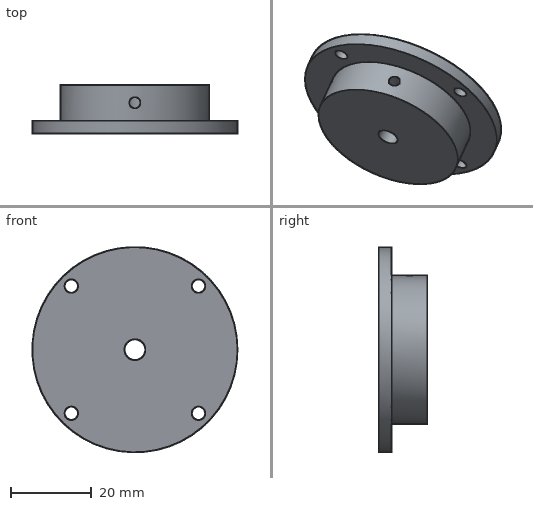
import cadquery as cq

flange_diameter = 50.8
flange_thickness = 3.2
hub_diameter = 36.9
total_depth = 12.05
hub_length = total_depth - flange_thickness

bore_diameter = 5.1
bolt_hole_diameter = 3.25
bolt_spacing = 31.45
set_screw_diameter = 2.75
set_screw_y = flange_thickness + hub_length / 2


def cylinder_along_y(diameter, start_y, length):
    """Solid cylinder on the Y axis, growing toward +Y."""
    plane = cq.Workplane("XZ", origin=(0, start_y, 0))
    return plane.circle(diameter / 2).extrude(-length)


def bolt_holes():
    """Four through holes at the corners of a square on the flange."""
    corners = cq.Workplane("XZ").rect(bolt_spacing, bolt_spacing, forConstruction=True).vertices()
    return corners.circle(bolt_hole_diameter / 2).extrude(-flange_thickness)


def set_screw_hole():
    """Radial hole from the bore axis out through the +Z side of the hub."""
    plane = cq.Workplane("XY", origin=(0, set_screw_y, 0))
    return plane.circle(set_screw_diameter / 2).extrude(hub_diameter / 2)


flange = cylinder_along_y(flange_diameter, 0, flange_thickness)
hub = cylinder_along_y(hub_diameter, flange_thickness, hub_length)
bore = cylinder_along_y(bore_diameter, 0, total_depth)

result = flange.union(hub).cut(bore).cut(bolt_holes()).cut(set_screw_hole())